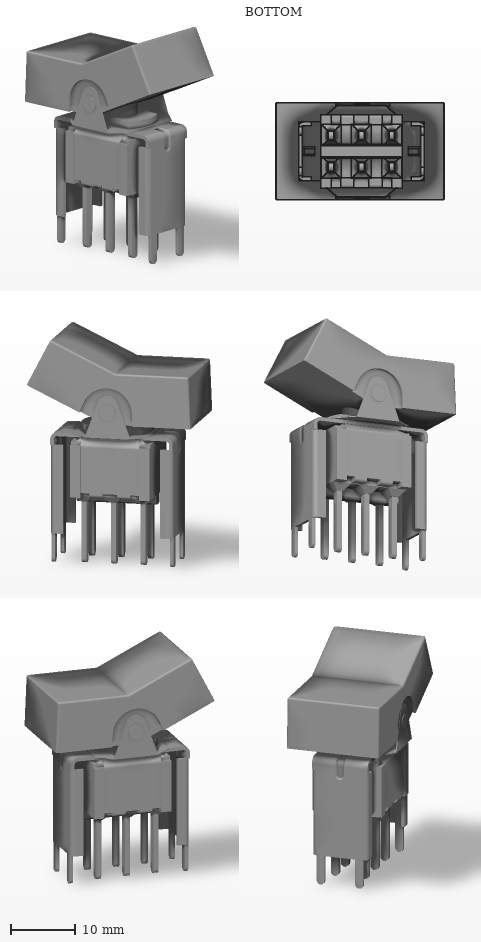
import cadquery as cq
import math

pivot_z = 24.8
rocker_tilt = 12.5
rocker_width = 15.1
rocker_tip_half = 13.4
rocker_shoulder_half = 11.25
rocker_valley = 6.45
rocker_keel = -1.95
rocker_round = 0.32
recess_radius = 4.0
recess_depth = 0.57

plate_top = 20.75
plate_thickness = 0.57
frame_half_x = 9.75
frame_width = 9.1
frame_bottom = 4.7
bend_radius = 1.08
flange_top = 18.73
flange_reach = 2.0
flange_round = 0.75
leg_width = 1.3
leg_offset = 3.15
gusset_end_x = 7.3
gusset_end_z = 18.15
gusset_depth = 0.3
gusset_half_outer = 0.7
gusset_half_inner = 0.43

sheet_thickness = 0.15
lug_face = 7.18
lug_base_half = 3.65
sheet_half_x = 6.17
sheet_half_y = 5.02
lug_tip_radius = 3.2 / 2
lug_tip_z = 25.98
pivot_diameter = 2.45
pivot_end = 7.32

bushing_diameter = 5.2
collar_diameter = 11.4
collar_width = 6.67
collar_top = 21.95

body_half_x = 6.35
body_half_y = 5.7
core_half_y = 4.1
body_bottom = 10.8
body_top = 19.6
ledge_drop = 0.55
ledge_half_y = 5.05
hood_base = (11.05, 10.05)
hood_tip = (9.6, 8.6)
divider_half_y = 1.08
divider_bottom = 9.25
divider_chamfer = 0.25

clip_half_x = 4.7
clip_bottom = 11.55
clip_round = 0.6
clip_half_y = 5.65
clip_tip_half_x = 4.38
clip_tip_half_y = 4.55
tab_round = 0.43
pad_half_x = 4.5
pad_half_y = 4.63
tab_spacing = 4.38
tab_width = 2.05
tab_bottom = 10.87

pin_pitch = 4.7
pin_offset = 2.45
pin_thickness = 0.83
pin_width = 1.3
seal_margin = 0.16
seal_slope = 0.97
seal_height = 1.05

plate_bottom = plate_top - plate_thickness


def box(x0, x1, y0, y1, z0, z1):
    """Box between two opposite corners."""
    return cq.Workplane("XY").box(x1 - x0, y1 - y0, z1 - z0, centered=False).translate((x0, y0, z0))


def mirrored_x(solid):
    return solid.union(solid.mirror("YZ"))


def mirrored_y(solid):
    return solid.union(solid.mirror("XZ"))


def tilted(solid):
    """Turn a solid built upright about the origin by the rocker tilt and lift it to the pivot."""
    return solid.rotate((0, 0, 0), (0, 1, 0), -rocker_tilt).translate((0, 0, pivot_z))


def make_rocker():
    wing_slope = math.tan(math.radians(rocker_tilt))
    tip_z = rocker_keel + rocker_tip_half * wing_slope
    shoulder_z = rocker_valley + rocker_shoulder_half * wing_slope
    outline = [
        (0, rocker_keel), (rocker_tip_half, tip_z), (rocker_shoulder_half, shoulder_z),
        (0, rocker_valley), (-rocker_shoulder_half, shoulder_z), (-rocker_tip_half, tip_z),
    ]
    rocker = cq.Workplane("XZ").polyline(outline).close().extrude(rocker_width / 2, both=True)
    reach = 2 * rocker_tip_half
    keel_edges = cq.selectors.BoxSelector((-reach, -reach, -reach), (reach, reach, tip_z + rocker_round))
    sharp = rocker.edges("not(|Y)").edges(cq.selectors.InverseSelector(keel_edges))
    shoulders = rocker.edges("|Y").edges(">Z")
    rocker = rocker.newObject(sharp.vals() + shoulders.vals()).fillet(rocker_round)

    recess = cq.Workplane("XZ").circle(recess_radius).extrude(-recess_depth)
    runout = box(-recess_radius, 0, 0, recess_depth, -2 * recess_radius, 0)
    recess = recess.union(mirrored_x(runout.rotate((0, 0, 0), (0, 1, 0), rocker_tilt)))
    recess = recess.translate((0, rocker_width / 2 - recess_depth, 0))
    return tilted(rocker.cut(mirrored_y(recess)))


def make_pivot():
    pivot = cq.Workplane("XZ").center(0, pivot_z).circle(pivot_diameter / 2)
    return pivot.extrude(pivot_end, both=True)


def make_lug_sheet():
    flat = [
        (lug_base_half, lug_face), (sheet_half_x, sheet_half_y), (sheet_half_x, -sheet_half_y),
        (lug_base_half, -lug_face), (-lug_base_half, -lug_face), (-sheet_half_x, -sheet_half_y),
        (-sheet_half_x, sheet_half_y), (-lug_base_half, lug_face),
    ]
    sheet = cq.Workplane("XY").workplane(offset=plate_top).polyline(flat).close().extrude(sheet_thickness)

    tip_height = lug_tip_z - plate_top
    reach = math.hypot(lug_base_half, tip_height)
    tangent_angle = math.acos(lug_tip_radius / reach) - math.atan2(tip_height, lug_base_half)
    tangent_x = lug_tip_radius * math.cos(tangent_angle)
    tangent_z = lug_tip_z + lug_tip_radius * math.sin(tangent_angle)
    lug = (
        cq.Workplane("XZ", origin=(0, lug_face, 0))
        .moveTo(-lug_base_half, plate_top)
        .lineTo(lug_base_half, plate_top)
        .lineTo(tangent_x, tangent_z)
        .threePointArc((0, lug_tip_z + lug_tip_radius), (-tangent_x, tangent_z))
        .close()
        .extrude(sheet_thickness)
    )
    return sheet.union(mirrored_y(lug))


def make_bushing():
    bushing = cq.Workplane("XY").circle(bushing_diameter / 2).extrude(pivot_z - plate_bottom)
    bushing = bushing.translate((0, 0, plate_bottom))
    collar = cq.Workplane("XY").circle(collar_diameter / 2).extrude(collar_top - plate_top)
    collar = collar.intersect(cq.Workplane("XY").rect(collar_diameter, collar_width).extrude(collar_top))
    return bushing.union(collar.translate((0, 0, plate_top)))


def bent_strip(inset):
    """Path down the -X corner of the frame, a given distance inside its outer face."""
    radius = bend_radius - inset
    side_x = -frame_half_x + inset
    top_z = plate_top - inset
    centre_x = -frame_half_x + bend_radius
    centre_z = plate_top - bend_radius
    diagonal = radius * math.sqrt(0.5)
    return (
        cq.Workplane("XZ")
        .moveTo(side_x, gusset_end_z)
        .lineTo(side_x, centre_z)
        .threePointArc((centre_x - diagonal, centre_z + diagonal), (centre_x, top_z))
        .lineTo(-gusset_end_x, top_z)
    )


def gusset(inset):
    """Tapered bar around the bend, ending in a cone; `inset` places its wide face."""
    start_x = -frame_half_x + inset
    section = [
        (0, gusset_half_outer), (gusset_depth, gusset_half_inner),
        (gusset_depth, -gusset_half_inner), (0, -gusset_half_outer),
    ]
    profile = cq.Workplane("XY", origin=(start_x, 0, gusset_end_z)).polyline(section).close()
    bar = profile.sweep(bent_strip(inset))
    cone = cq.Solid.makeCone(
        gusset_half_outer, gusset_half_inner, gusset_depth,
        pnt=cq.Vector(start_x, 0, gusset_end_z), dir=cq.Vector(1, 0, 0),
    )
    return bar.union(cq.Workplane(cone))


def blade(x_centre, y_centre, thickness, width, top):
    """Flat terminal standing on Z = 0 with a round tip in the YZ plane."""
    radius = width / 2
    outline = (
        cq.Workplane("YZ", origin=(x_centre - thickness / 2, y_centre, 0))
        .moveTo(-radius, top)
        .lineTo(-radius, radius)
        .threePointArc((0, 0), (radius, radius))
        .lineTo(radius, top)
        .close()
    )
    return outline.extrude(thickness)


def make_frame():
    half_width = frame_width / 2
    frame = box(-frame_half_x, frame_half_x, -half_width, half_width, frame_bottom, plate_top)
    frame = frame.edges("|Y and >Z").fillet(bend_radius)
    inner_x = frame_half_x - plate_thickness
    hollow = box(-inner_x, inner_x, -half_width, half_width, frame_bottom, plate_bottom)
    frame = frame.cut(hollow.edges("|Y and >Z").fillet(bend_radius - plate_thickness))

    side_x = -frame_half_x
    channel = box(side_x, side_x + flange_reach, -half_width, half_width, frame_bottom, flange_top)
    channel = channel.edges("|Z and <X").fillet(flange_round)
    inner_y = half_width - plate_thickness
    channel = channel.cut(
        box(side_x + plate_thickness, 0, -inner_y, inner_y, frame_bottom, flange_top)
        .edges("|Z and <X").fillet(flange_round - plate_thickness)
    )
    corner = box(side_x, 0, -half_width, half_width, frame_bottom, flange_top)
    frame = frame.cut(mirrored_x(corner))
    leg = blade(side_x + plate_thickness / 2, leg_offset, plate_thickness, leg_width, frame_bottom)
    frame = frame.union(mirrored_x(channel.union(mirrored_y(leg))))

    frame = frame.union(mirrored_x(gusset(plate_thickness)))
    return frame.cut(mirrored_x(gusset(0)))


def make_body():
    body = box(-body_half_x, body_half_x, -body_half_y, body_half_y, body_bottom, body_top)
    ledge = box(-body_half_x, body_half_x, ledge_half_y, body_half_y, body_top - ledge_drop, body_top)
    channel = box(-clip_half_x, clip_half_x, core_half_y, body_half_y, body_bottom, body_top)
    body = body.cut(mirrored_y(ledge.union(channel)))
    hood = (
        cq.Workplane("XY", origin=(0, 0, body_top))
        .rect(*hood_base)
        .workplane(offset=plate_bottom - body_top)
        .rect(*hood_tip)
        .loft()
    )
    divider = box(-body_half_x, body_half_x, -divider_half_y, divider_half_y, divider_bottom, body_bottom)
    divider = divider.edges("|X and <Z").chamfer(divider_chamfer)
    return body.union(hood).union(divider)


def make_clip():
    lean_z = plate_bottom - (clip_half_y - clip_tip_half_y)
    section = [
        (core_half_y, clip_bottom), (clip_half_y, clip_bottom), (clip_half_y, lean_z),
        (clip_tip_half_y, plate_bottom), (core_half_y, plate_bottom),
    ]
    clip = cq.Workplane("YZ").polyline(section).close().extrude(clip_half_x, both=True)
    bend = cq.selectors.NearestToPointSelector((0, clip_half_y, lean_z))
    clip = clip.edges(bend).fillet(clip_round)
    face = [
        (clip_half_x, clip_bottom), (clip_half_x, body_top), (clip_tip_half_x, plate_bottom),
        (-clip_tip_half_x, plate_bottom), (-clip_half_x, body_top), (-clip_half_x, clip_bottom),
    ]
    clip = clip.intersect(cq.Workplane("XZ").polyline(face).close().extrude(-body_half_y))

    tab = box(-tab_width / 2, tab_width / 2, core_half_y, clip_half_y, tab_bottom, clip_bottom)
    tab = tab.edges("|X and >Y and <Z").fillet(tab_round).translate((tab_spacing / 2, 0, 0))
    pad = box(-pad_half_x, pad_half_x, core_half_y, pad_half_y, plate_bottom, plate_top)
    return mirrored_y(clip.union(mirrored_x(tab)).union(pad))


def make_terminals():
    narrow_x = pin_thickness + 2 * seal_margin
    narrow_y = pin_width + 2 * seal_margin
    terminals = cq.Workplane("XY")
    for x in (-pin_pitch, 0, pin_pitch):
        seal = (
            cq.Workplane("XY", origin=(x, pin_offset, body_bottom))
            .rect(narrow_x + 2 * seal_slope, narrow_y + 2 * seal_slope)
            .workplane(offset=-seal_height)
            .rect(narrow_x, narrow_y)
            .loft()
        )
        pin = blade(x, pin_offset, pin_thickness, pin_width, body_bottom)
        terminals = terminals.union(mirrored_y(seal.union(pin)))
    return terminals


result = make_rocker()
for piece in (
    make_pivot(), make_lug_sheet(), make_bushing(), make_frame(), make_body(), make_clip(), make_terminals()
):
    result = result.union(piece)